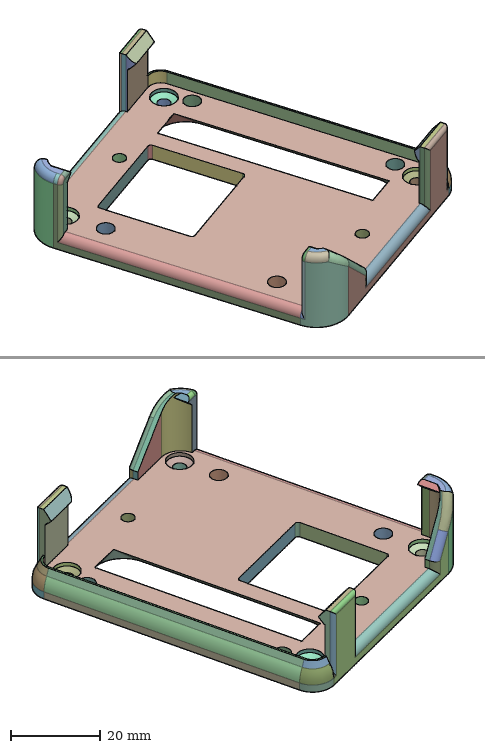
import cadquery as cq
import math

LENGTH = 78.0
WIDTH = 63.0
HEIGHT = 20.0
X_SIDE = LENGTH / 2
Y_SIDE = WIDTH / 2
FRONT_RADIUS = 8.0
BACK_RADIUS = 5.6

FLOOR = 4.0
FLOOR_EDGE_RADIUS = 2.0

LIP_TOP = 7.3
LIP_START = FLOOR - FLOOR_EDGE_RADIUS
LIP_BREAK = 5.65
LIP_BREAK_INSET = 1.13
LIP_TOP_INSET = 1.98
LIP_THICKNESS = 2.46

CLIP_WIDTH = 10.1
CLIP_WALL = 2.4
CLIP_TOP_DEPTH = 2.1
CLIP_TIP_DEPTH = 4.1
CLIP_TIP_DROP = 2.57
CLIP_END_SETBACK = 1.3
CLIP_EDGE_RADIUS = 1.0

CORNER_WALL = 3.0
CORNER_INNER_RADIUS = FRONT_RADIUS - CORNER_WALL
CORNER_TOP_DEPTH = 3.6
CORNER_TIP_DEPTH = 4.7
CORNER_TOP_RADIUS = 1.75
CORNER_END_RADIUS = 1.0
SLOPE_START = 6.2
LEFT_POST_WIDTH = 10.0
LEFT_POST_REACH = 13.2
LEFT_POST_ANGLE = 60.0
RIGHT_POST_WIDTH = FRONT_RADIUS
RIGHT_POST_REACH = 18.2
RIGHT_POST_ANGLE = 45.0

SCREW_X = 31.75
SCREW_Y = 24.35
SCREW_DIAMETER = 3.2
HEAD_DIAMETER = 6.4
HEAD_RECESS = 1.0
HEAD_CONE_DEPTH = 0.7

BACK_HOLE_X = 25.5
BACK_HOLE_Y = 26.0
FRONT_HOLE_X = 21.5
LARGE_HOLE_DIAMETER = 4.2
SIDE_HOLE_X = 30.5
SIDE_HOLE_DIAMETER = 3.2

WINDOW_LEFT = -26.8
WINDOW_RIGHT = -2.6
WINDOW_FRONT = -18.3
WINDOW_BACK = 7.5
WINDOW_RADIUS = 0.8

SLOT_Y = 16.0
SLOT_LENGTH = 54.0
SLOT_WIDTH = 8.0
FLARE_LENGTH = 60.0
FLARE_WIDTH = 16.0
SLOT_CORNER_RADIUS = 0.01
FLARE_CORNER_RADIUS = FLARE_WIDTH / 2 - SLOT_CORNER_RADIUS

TOLERANCE = 1e-4


def outline(inset, z, height):
    """Rounded block following the body outline, moved inward by an inset."""
    block = cq.Workplane("XY", origin=(0, 0, z)).rect(LENGTH - 2 * inset, WIDTH - 2 * inset).extrude(height)
    block = block.edges("|Z and <Y").fillet(FRONT_RADIUS - inset)
    return block.edges("|Z and >Y").fillet(BACK_RADIUS - inset)


def make_floor():
    """Floor plate with its upper edge rounded all the way around."""
    return outline(0, 0, FLOOR).faces(">Z").edges().fillet(FLOOR_EDGE_RADIUS)


def make_lip():
    """U-shaped lip along the back edge and round both back corners."""
    rise = LIP_BREAK - LIP_START
    curve_radius = (rise**2 + LIP_BREAK_INSET**2) / (2 * LIP_BREAK_INSET)
    mid_rise = rise / 2
    mid_inset = curve_radius - math.sqrt(curve_radius**2 - mid_rise**2)

    def section(x):
        """Lip profile in a vertical plane, with its outer side along +Y."""
        plane = cq.Plane(origin=(x, Y_SIDE, 0), xDir=(0, -1, 0), normal=(-1, 0, 0))
        return (
            cq.Workplane(plane)
            .moveTo(0, 0)
            .lineTo(0, LIP_START)
            .threePointArc((mid_inset, LIP_START + mid_rise), (LIP_BREAK_INSET, LIP_BREAK))
            .lineTo(LIP_TOP_INSET, LIP_TOP)
            .lineTo(LIP_THICKNESS, LIP_TOP)
            .lineTo(LIP_THICKNESS, 0)
            .close()
        )

    corner_x = X_SIDE - BACK_RADIUS
    straight = section(corner_x).extrude(2 * corner_x)
    corner = section(corner_x).revolve(90, (BACK_RADIUS, 1), (BACK_RADIUS, 0))
    return straight.union(corner).union(corner.mirror("YZ"))


def make_clip():
    """Left clip post: a wall with a hook along its top, rounded at its front end."""
    back = Y_SIDE - BACK_RADIUS
    front = back - CLIP_WIDTH
    tip_z = HEIGHT - CLIP_TIP_DROP
    wall_z = tip_z - (CLIP_TIP_DEPTH - CLIP_WALL)
    hook = (
        cq.Workplane("XZ", origin=(-X_SIDE, back, 0))
        .polyline([
            (0, 0),
            (0, HEIGHT),
            (CLIP_TOP_DEPTH, HEIGHT),
            (CLIP_TIP_DEPTH, tip_z),
            (CLIP_WALL, wall_z),
            (CLIP_WALL, 0),
        ])
        .close()
        .extrude(CLIP_WIDTH)
    )
    reach = CLIP_TIP_DEPTH - CLIP_TOP_DEPTH
    radius = (reach**2 + CLIP_END_SETBACK**2) / (2 * CLIP_END_SETBACK)
    mid_x = CLIP_TOP_DEPTH + reach / 2
    mid_y = radius - math.sqrt(radius**2 - (reach / 2) ** 2)
    plan = (
        cq.Workplane("XY", origin=(-X_SIDE, front, 0))
        .moveTo(0, 0)
        .lineTo(CLIP_TOP_DEPTH, 0)
        .threePointArc((mid_x, mid_y), (CLIP_TIP_DEPTH, CLIP_END_SETBACK))
        .lineTo(CLIP_TIP_DEPTH, CLIP_WIDTH)
        .lineTo(0, CLIP_WIDTH)
        .close()
        .extrude(HEIGHT)
    )
    clip = hook.intersect(plan)
    return clip.faces("<X").edges("not <Z").fillet(CLIP_EDGE_RADIUS)


def is_upright(edge):
    """True for a straight vertical edge."""
    return edge.geomType() == "LINE" and abs(edge.tangentAt(0.5).z) > 1 - TOLERANCE


def is_outer_rim(edge, end_x, end_y):
    """True for the outer edges of a left corner post, leaving out its foot and tangent seams."""
    middle = edge.positionAt(0.5)
    from_axis_x = max(0, FRONT_RADIUS - X_SIDE - middle.x)
    from_axis_y = max(0, FRONT_RADIUS - Y_SIDE - middle.y)
    on_outline = abs(math.hypot(from_axis_x, from_axis_y) - FRONT_RADIUS) < TOLERANCE
    at_end = abs(middle.x - end_x) < TOLERANCE or abs(middle.y - end_y) < TOLERANCE
    return on_outline and middle.z > TOLERANCE and (at_end or not is_upright(edge))


def is_front_end(edge, end_x):
    """True for the upright edge at the front opening."""
    return is_upright(edge) and abs(edge.positionAt(0.5).x - end_x) < TOLERANCE


def make_corner_post(post_width, reach, angle):
    """Left front corner post: a hooked front wall and a sloping side wall."""
    tip_z = HEIGHT - (CORNER_TIP_DEPTH - CORNER_TOP_DEPTH)
    wall_z = tip_z - (CORNER_TIP_DEPTH - CORNER_WALL)
    front_wall = (
        cq.Workplane("YZ", origin=(-X_SIDE, -Y_SIDE, 0))
        .polyline([
            (0, 0),
            (0, HEIGHT),
            (CORNER_TOP_DEPTH, HEIGHT),
            (CORNER_TIP_DEPTH, tip_z),
            (CORNER_WALL, wall_z),
            (CORNER_WALL, 0),
        ])
        .close()
        .extrude(post_width)
    )
    slope_run = (HEIGHT - SLOPE_START) / math.tan(math.radians(angle))
    side_wall = (
        cq.Workplane("YZ", origin=(-X_SIDE, -Y_SIDE, 0))
        .polyline([(0, 0), (0, HEIGHT), (reach - slope_run, HEIGHT), (reach, SLOPE_START), (reach, 0)])
        .close()
        .extrude(FRONT_RADIUS)
    )
    cavity = (
        cq.Workplane("XY")
        .rect(LENGTH - 2 * CORNER_WALL, WIDTH - 2 * CORNER_WALL)
        .extrude(HEIGHT)
        .edges("|Z")
        .fillet(CORNER_INNER_RADIUS)
    )
    side_wall = side_wall.cut(cavity)
    post = front_wall.union(side_wall).intersect(outline(0, 0, HEIGHT))

    end_x = -X_SIDE + post_width
    end_y = -Y_SIDE + reach
    rim = [edge for edge in post.edges().vals() if is_outer_rim(edge, end_x, end_y)]
    upper_rim = [edge for edge in rim if not is_front_end(edge, end_x)]
    post = post.newObject(upper_rim).fillet(CORNER_TOP_RADIUS)
    rim = [edge for edge in post.edges().vals() if is_outer_rim(edge, end_x, end_y)]
    end_rim = [edge for edge in rim if is_front_end(edge, end_x)]
    return post.newObject(end_rim).fillet(CORNER_END_RADIUS)


def make_slot():
    """Cutter for the slot, widening toward the underside."""

    def section(z, length, width, radius):
        """Rounded rectangle at a given height."""
        return cq.Sketch().rect(length, width).vertices().fillet(radius).moved(cq.Location((0, SLOT_Y, z)))

    underside = section(0, FLARE_LENGTH, FLARE_WIDTH, FLARE_CORNER_RADIUS)
    top = section(FLOOR, SLOT_LENGTH, SLOT_WIDTH, SLOT_CORNER_RADIUS)
    return cq.Workplane().placeSketch(underside, top).loft(ruled=True)


def make_screw_cutter():
    """Through hole with a conical seat and a short straight recess for the head."""
    return (
        cq.Workplane("XZ")
        .polyline([
            (0, 0),
            (SCREW_DIAMETER / 2, 0),
            (SCREW_DIAMETER / 2, FLOOR - HEAD_RECESS - HEAD_CONE_DEPTH),
            (HEAD_DIAMETER / 2, FLOOR - HEAD_RECESS),
            (HEAD_DIAMETER / 2, FLOOR),
            (0, FLOOR),
        ])
        .close()
        .revolve(360, (0, 0), (0, 1))
    )


def make_holes():
    """Through holes in the floor, mirrored left to right."""
    large = [(BACK_HOLE_X, BACK_HOLE_Y), (FRONT_HOLE_X, -SCREW_Y)]
    holes = cq.Workplane("XY").pushPoints(large).circle(LARGE_HOLE_DIAMETER / 2).extrude(FLOOR)
    side = cq.Workplane("XY").center(SIDE_HOLE_X, 0).circle(SIDE_HOLE_DIAMETER / 2).extrude(FLOOR)
    holes = holes.union(side)
    return holes.union(holes.mirror("YZ"))


def make_window():
    """Cutter for the rectangular window with rounded corners."""
    window = cq.Workplane("XY").box(
        WINDOW_RIGHT - WINDOW_LEFT, WINDOW_BACK - WINDOW_FRONT, FLOOR, centered=False
    )
    return window.edges("|Z").fillet(WINDOW_RADIUS).translate((WINDOW_LEFT, WINDOW_FRONT, 0))


clip = make_clip()
left_post = make_corner_post(LEFT_POST_WIDTH, LEFT_POST_REACH, LEFT_POST_ANGLE)
right_post = make_corner_post(RIGHT_POST_WIDTH, RIGHT_POST_REACH, RIGHT_POST_ANGLE).mirror("YZ")

result = make_floor().union(make_lip())
for post in (clip, clip.mirror("YZ"), left_post, right_post):
    result = result.union(post)

result = result.cut(make_slot()).cut(make_window()).cut(make_holes())
screw_cutter = make_screw_cutter()
for x in (-SCREW_X, SCREW_X):
    for y in (-SCREW_Y, SCREW_Y):
        result = result.cut(screw_cutter.translate((x, y, 0)))